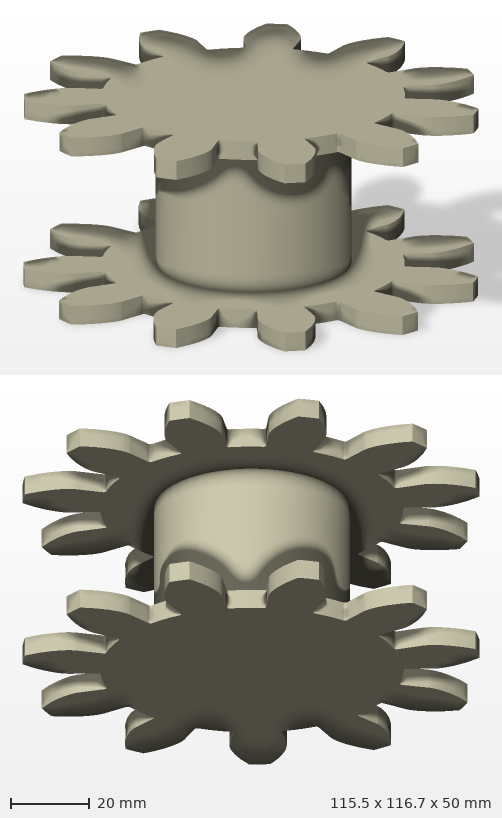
import cadquery as cq
import math

TOTAL_WIDTH_Y = 116.7
TOTAL_HEIGHT = 50.0

GEAR_THICKNESS = 5.0
HUB_HEIGHT = TOTAL_HEIGHT - 2 * GEAR_THICKNESS
HUB_DIAMETER = 50.0

LOWER_SHIFT_X = 0.1
LOWER_SHIFT_Y = -0.2

TEETH = 11
TOOTH_PITCH = 2 * math.pi / TEETH
PRESSURE_ANGLE = math.radians(20)
ROOT_RADIUS = 38.6
ROOT_FILLET = 0.7
FLANK_STEPS = 6


def involute(angle):
    """Involute function: the polar angle swept by the curve at a pressure angle."""
    return math.tan(angle) - angle


TIP_TO_PITCH = 1 + 2 / TEETH
TIP_PRESSURE_ANGLE = math.acos(math.cos(PRESSURE_ANGLE) / TIP_TO_PITCH)
HALF_TOOTH_AT_BASE = TOOTH_PITCH / 4 + involute(PRESSURE_ANGLE)
HALF_TOOTH_AT_TIP = HALF_TOOTH_AT_BASE - involute(TIP_PRESSURE_ANGLE)

TOOTH_NEAREST_Y = round(TEETH / 4)
WIDEST_CORNER_ANGLE = TOOTH_NEAREST_Y * TOOTH_PITCH - HALF_TOOTH_AT_TIP
TIP_RADIUS = (TOTAL_WIDTH_Y - abs(LOWER_SHIFT_Y)) / (2 * math.sin(WIDEST_CORNER_ANGLE))
BASE_RADIUS = TIP_RADIUS * math.cos(TIP_PRESSURE_ANGLE)


def polar(radius, angle):
    return (radius * math.cos(angle), radius * math.sin(angle))


def flank_point(radius, center_angle, side):
    """Point on a tooth flank; side is -1 for the clockwise flank and +1 for the other."""
    swept = involute(math.acos(min(1.0, BASE_RADIUS / radius)))
    return polar(radius, center_angle + side * (HALF_TOOTH_AT_BASE - swept))


def involute_flank(center_angle, side):
    """Points of the curved flank from the base circle out to the tip circle."""
    step = (TIP_RADIUS - BASE_RADIUS) / FLANK_STEPS
    radii = [BASE_RADIUS + i * step for i in range(FLANK_STEPS + 1)]
    return [flank_point(radius, center_angle, side) for radius in radii]


def is_root_corner(edge):
    """True for the vertical edges where a tooth meets the root circle."""
    center = edge.Center()
    return math.hypot(center.x, center.y) < (ROOT_RADIUS + BASE_RADIUS) / 2


def make_gear(center_x, center_y, bottom_z):
    """Spur gear with radial lower flanks, involute upper flanks and filleted roots."""
    profile = cq.Workplane("XY").moveTo(*polar(ROOT_RADIUS, -HALF_TOOTH_AT_BASE))
    for tooth in range(TEETH):
        center_angle = tooth * TOOTH_PITCH
        outward_flank = involute_flank(center_angle, -1)
        inward_flank = involute_flank(center_angle, 1)[::-1]
        gap_start = polar(ROOT_RADIUS, center_angle + HALF_TOOTH_AT_BASE)
        gap_middle = polar(ROOT_RADIUS, center_angle + TOOTH_PITCH / 2)
        gap_end = polar(ROOT_RADIUS, center_angle + TOOTH_PITCH - HALF_TOOTH_AT_BASE)
        profile = (
            profile.lineTo(*outward_flank[0])
            .spline(outward_flank[1:], includeCurrent=True)
            .threePointArc(polar(TIP_RADIUS, center_angle), inward_flank[0])
            .spline(inward_flank[1:], includeCurrent=True)
            .lineTo(*gap_start)
            .threePointArc(gap_middle, gap_end)
        )
    gear = profile.close().extrude(GEAR_THICKNESS)
    gear = gear.edges("|Z").filter(is_root_corner).fillet(ROOT_FILLET)
    return gear.solids().translate((center_x, center_y, bottom_z))


def make_hub():
    """Plain cylinder that stands between the facing sides of the two gears."""
    hub = cq.Workplane("XY").circle(HUB_DIAMETER / 2).extrude(HUB_HEIGHT)
    return hub.translate((0, 0, GEAR_THICKNESS))


lower_gear = make_gear(LOWER_SHIFT_X, LOWER_SHIFT_Y, 0)
hub = make_hub()
upper_gear = make_gear(0, 0, GEAR_THICKNESS + HUB_HEIGHT)
result = cq.Compound.makeCompound([lower_gear.val(), hub.val(), upper_gear.val()])